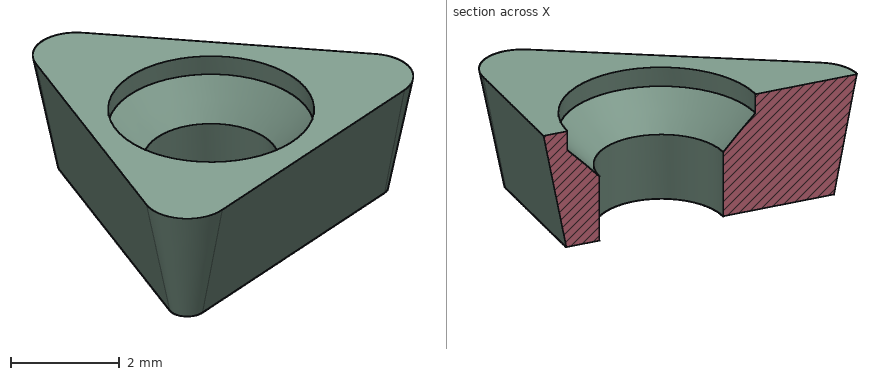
import cadquery as cq
import math

width = 7.07
thickness = 2.38
corner_radius = 0.81
relief_angle = 11.0

recess_diameter = 3.8
recess_depth = 0.39
bore_diameter = 2.495
bore_start_depth = 1.06

corner_spacing = width - 2 * corner_radius
corner_distance = corner_spacing / math.sqrt(3)
corner_angles = (90, 210, 330)
flank_half_angle = 60


def point_near_corner(corner_angle, radius, direction):
    """Point at the given radius and direction from a corner's arc centre."""
    corner = math.radians(corner_angle)
    heading = math.radians(direction)
    return (
        corner_distance * math.cos(corner) + radius * math.cos(heading),
        corner_distance * math.sin(corner) + radius * math.sin(heading),
    )


def rounded_triangle(radius):
    """Triangle outline whose sides are tangent to the three corner arcs."""
    first = corner_angles[0]
    outline = cq.Workplane("XY").moveTo(*point_near_corner(first, radius, first - flank_half_angle))
    for angle in corner_angles:
        arc_start = point_near_corner(angle, radius, angle - flank_half_angle)
        arc_middle = point_near_corner(angle, radius, angle)
        arc_end = point_near_corner(angle, radius, angle + flank_half_angle)
        if angle != first:
            outline = outline.lineTo(*arc_start)
        outline = outline.threePointArc(arc_middle, arc_end)
    return outline.close()


def insert_body():
    """Body tapering from the full outline on top to the relieved bottom."""
    outline = rounded_triangle(corner_radius)
    return outline.extrude(-thickness, taper=relief_angle).translate((0, 0, thickness))


def screw_hole():
    """Revolved half-profile of the recess, conical seat and bore."""
    recess_radius = recess_diameter / 2
    bore_radius = bore_diameter / 2
    profile = [
        (0, 0),
        (bore_radius, 0),
        (bore_radius, thickness - bore_start_depth),
        (recess_radius, thickness - recess_depth),
        (recess_radius, thickness),
        (0, thickness),
    ]
    return cq.Workplane("XZ").polyline(profile).close().revolve(360, (0, 0), (0, 1))


result = insert_body().cut(screw_hole())